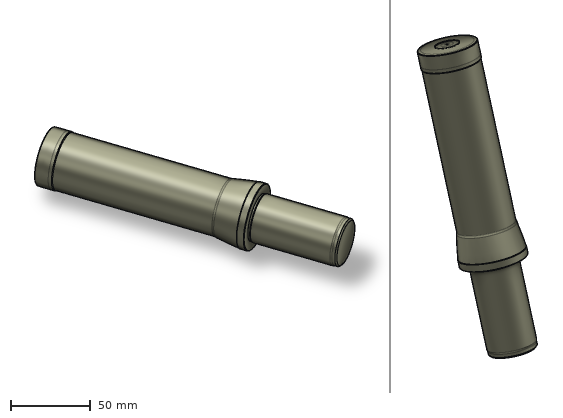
import cadquery as cq

total_length = 204.0
body_radius = 38.0 / 2
flange_radius = 44.0 / 2
shank_radius = 32.0 / 2
neck_radius = 31.5 / 2

head_rear_radius = 19.4
head_taper = 0.05
head_land_start = 10.2
head_land_end = 12.5
head_length = 13.0
face_crease_radius = 17.1
face_crease_setback = 0.6
face_edge_radius = 19.0
face_edge_setback = 0.8
face_corner_length = 0.5
recess_radius = 8.0
recess_depth = 0.6
boss_radius = 4.0
boss_depth = 0.2
centre_radius = 1.6
centre_depth = 0.1
centre_hole_radius = 0.6
centre_hole_depth = 0.6

flare_start = 121.0
flare_step_length = 1.5
flare_step_radius = 19.4
flare_end = 138.7
flare_bulge = 0.2
flange_end = 144.0
flange_edge = 0.5
neck_end = 145.2
shank_shoulder_chamfer = 0.6
shank_end = 199.7
tail_step_length = 1.2
tail_chamfer = 1.0


def revolve_about_x(profile):
    """Turn a closed X-radius profile into a solid about the X axis."""
    return profile.close().revolve(360, (0, 0, 0), (1, 0, 0))


def make_head():
    """Slightly flared disc with a centre recess around a low conical boss."""
    profile = (
        cq.Workplane("XY")
        .moveTo(centre_hole_depth, 0)
        .lineTo(centre_hole_depth, centre_hole_radius)
        .lineTo(centre_depth, centre_hole_radius)
        .lineTo(centre_depth, centre_radius)
        .lineTo(boss_depth, boss_radius)
        .lineTo(recess_depth, recess_radius)
        .lineTo(0, recess_radius)
        .lineTo(face_crease_setback, face_crease_radius)
        .lineTo(face_edge_setback, face_edge_radius)
        .lineTo(face_edge_setback + face_corner_length, head_rear_radius - head_taper)
        .lineTo(head_land_start, head_rear_radius)
        .lineTo(head_land_end, head_rear_radius)
        .lineTo(head_length, body_radius)
        .lineTo(head_length, 0)
    )
    return revolve_about_x(profile)


def make_holder():
    """Round body, bulged flare, flange, relieved neck and shank in one piece."""
    flare_front = flare_start + flare_step_length
    flare_rear_radius = flange_radius - flange_edge / 2
    flare_middle = (flare_front + flare_end) / 2
    flare_middle_radius = (flare_step_radius + flare_rear_radius) / 2 + flare_bulge
    tail_start = shank_end + tail_step_length
    profile = (
        cq.Workplane("XY")
        .moveTo(head_length, 0)
        .lineTo(head_length, body_radius)
        .lineTo(flare_start, body_radius)
        .lineTo(flare_front, flare_step_radius)
        .threePointArc((flare_middle, flare_middle_radius), (flare_end, flare_rear_radius))
        .lineTo(flare_end + flange_edge, flange_radius)
        .lineTo(flange_end - flange_edge, flange_radius)
        .lineTo(flange_end, flange_radius - flange_edge)
        .lineTo(flange_end, neck_radius)
        .lineTo(neck_end, neck_radius)
        .lineTo(neck_end + shank_shoulder_chamfer, shank_radius)
        .lineTo(shank_end, shank_radius)
        .lineTo(tail_start, neck_radius)
        .lineTo(total_length - tail_chamfer, neck_radius)
        .lineTo(total_length, neck_radius - tail_chamfer)
        .lineTo(total_length, 0)
    )
    return revolve_about_x(profile)


head = make_head()
holder = make_holder()

result = cq.Compound.makeCompound([head.val(), holder.val()])